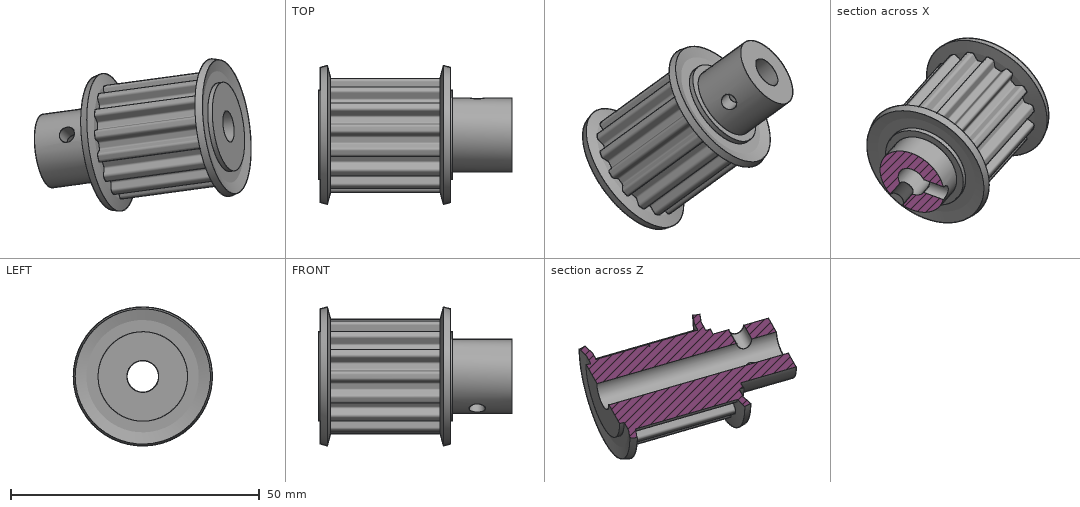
import cadquery as cq
import math


total_length = 39.0
drum_end_x = 27.0
tooth_start_x = 2.5
flange_thickness = 1.52

flange_diameter = 28.0
boss_diameter = 18.0
hub_diameter = 14.98
bore_diameter = 6.3
tooth_tip_radius = 11.6
groove_floor_radius = 9.7

flange_tilt = math.radians(15)
inner_bend_radius = 11.5

groove_count = 15
groove_floor_width = 1.52
groove_flank_angle = math.radians(25)
tooth_tip_fillet = 0.6
tip_tolerance = 0.05
groove_root_fillet = 0.43

screw_hole_diameter = 3.25
screw_hole_x = 31.98
screw_hole_angles = (0, -120)


def cylinder_along_x(start_x, end_x, diameter):
    return (
        cq.Workplane("YZ", origin=(start_x, 0, 0))
        .circle(diameter / 2)
        .extrude(end_x - start_x)
    )


def make_toothed_drum(start_x, end_x):
    """Cylinder with trapezoidal grooves, the first one centred on +Y."""
    length = end_x - start_x
    opening_radius = tooth_tip_radius + 0.4
    floor_half = groove_floor_width / 2
    opening_half = floor_half + (opening_radius - groove_floor_radius) * math.tan(groove_flank_angle)
    cutter = (
        cq.Workplane("YZ", origin=(start_x, 0, 0))
        .polyline([
            (groove_floor_radius, -floor_half),
            (opening_radius, -opening_half),
            (opening_radius, opening_half),
            (groove_floor_radius, floor_half),
        ])
        .close()
        .extrude(length)
        .edges("|X and <Y")
        .fillet(groove_root_fillet)
    )
    drum = cylinder_along_x(start_x, end_x, 2 * tooth_tip_radius)
    for index in range(groove_count):
        drum = drum.cut(cutter.rotate((0, 0, 0), (1, 0, 0), index * 360 / groove_count))

    def is_on_tooth_tip(edge):
        middle = edge.Center()
        return math.hypot(middle.y, middle.z) > tooth_tip_radius - tip_tolerance

    tip_edges = [edge for edge in drum.edges("|X").vals() if is_on_tooth_tip(edge)]
    return drum.newObject(tip_edges).fillet(tooth_tip_fillet)


def make_flange():
    """Dished plate of constant thickness whose rim tilts away from the teeth."""
    flange_radius = flange_diameter / 2
    outer_face_x = tooth_start_x - flange_thickness
    outer_bend_radius = inner_bend_radius - flange_thickness * math.tan(flange_tilt / 2)
    rim_inner_x = tooth_start_x - (flange_radius - inner_bend_radius) * math.tan(flange_tilt)
    rim_outer_x = rim_inner_x - flange_thickness * math.cos(flange_tilt)
    rim_outer_radius = flange_radius - flange_thickness * math.sin(flange_tilt)
    return (
        cq.Workplane("XY")
        .polyline([
            (outer_face_x, 0),
            (outer_face_x, outer_bend_radius),
            (rim_outer_x, rim_outer_radius),
            (rim_inner_x, flange_radius),
            (tooth_start_x, inner_bend_radius),
            (tooth_start_x, 0),
        ])
        .close()
        .revolve(360, (0, 0, 0), (1, 0, 0))
    )


def make_screw_hole(angle):
    """Radial hole from the axis out through one side of the hub."""
    return (
        cq.Workplane("XZ", origin=(screw_hole_x, 0, 0))
        .circle(screw_hole_diameter / 2)
        .extrude(-hub_diameter)
        .rotate((0, 0, 0), (1, 0, 0), angle)
    )


tooth_end_x = drum_end_x - tooth_start_x
drum_middle = (drum_end_x / 2, 0, 0)

first_flange = make_flange()
second_flange = first_flange.mirror("YZ", drum_middle)

result = (
    make_toothed_drum(tooth_start_x, tooth_end_x)
    .union(first_flange)
    .union(second_flange)
    .union(cylinder_along_x(0, tooth_start_x, boss_diameter))
    .union(cylinder_along_x(tooth_end_x, drum_end_x, boss_diameter))
    .union(cylinder_along_x(drum_end_x, total_length, hub_diameter))
    .cut(cylinder_along_x(0, total_length, bore_diameter))
)
for screw_hole_angle in screw_hole_angles:
    result = result.cut(make_screw_hole(screw_hole_angle))